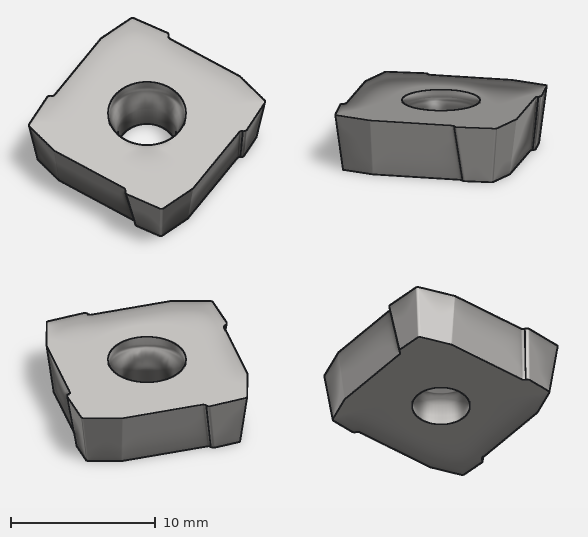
import cadquery as cq
import math

THICKNESS = 4.0
RELIEF_ANGLE = 7.0
SIDES = 4

HALF_WIDTH = 6.52

FLAT_DISTANCE = 6.2
FLAT_END = 3.59
BEVEL_ANGLE = 16.8
TOOTH_ANGLE = 5.2
STEP_X = -2.33
STEP_LEAN = 23.0

CORNER_RADIUS = 0.2
STEP_CREST_RADIUS = 0.26
STEP_FOOT_RADIUS = 0.22
BEVEL_RADIUS_TOP = 0.13
BEVEL_RADIUS_BOTTOM = 0.37

BORE_RADIUS = 4.0 / 2
MOUTH_RADIUS = 2.7
WALL_END_RADIUS = 2.63
SEAT_RADIUS = 2.5
WALL_DEPTH = 0.53
SEAT_DEPTH = 0.83
BORE_DEPTH = 2.23


def tangent(angle):
    return math.tan(math.radians(angle))


def side_corners(inset):
    """Sharp corners of one side, with the flat, bevel and tooth edges moved inwards by inset.

    The foot of the step slides along the flat by the same amount.
    """
    flat = FLAT_DISTANCE - inset
    bevel_x = -flat
    bevel_y = FLAT_END - inset * tangent(BEVEL_ANGLE / 2)
    slope = tangent(TOOTH_ANGLE)
    step_lean = tangent(STEP_LEAN)
    crest_arc_y = HALF_WIDTH - STEP_CREST_RADIUS
    crest_arc_x = STEP_X - (crest_arc_y - FLAT_DISTANCE) * step_lean
    crest_arc_x -= STEP_CREST_RADIUS / math.cos(math.radians(STEP_LEAN))
    edge_rise = (STEP_CREST_RADIUS - inset) / math.cos(math.radians(TOOTH_ANGLE))
    tooth_at_centre = crest_arc_y + edge_rise - slope * crest_arc_x
    lean = tangent(BEVEL_ANGLE)
    tooth_x = (bevel_x + (tooth_at_centre - bevel_y) * lean) / (1 - slope * lean)
    tooth_y = tooth_at_centre + slope * tooth_x
    foot_x = STEP_X - inset
    crest_x = (foot_x - (tooth_at_centre - flat) * step_lean) / (1 + slope * step_lean)
    crest_y = tooth_at_centre + slope * crest_x
    return [(bevel_x, bevel_y), (tooth_x, tooth_y), (crest_x, crest_y), (foot_x, flat)]


def rounded_corner(before, corner, after, radius):
    """Start, middle and end points of the arc that rounds a corner."""
    corner = cq.Vector(*corner)
    back = (cq.Vector(*before) - corner).normalized()
    ahead = (cq.Vector(*after) - corner).normalized()
    half_angle = back.getAngle(ahead) / 2
    setback = radius / math.tan(half_angle)
    to_middle = radius / math.sin(half_angle) - radius
    middle = corner + (back + ahead).normalized() * to_middle
    return corner + back * setback, middle, corner + ahead * setback


def outline(inset, z, bevel_radius):
    """Closed outline of the insert at height z."""
    radii = [bevel_radius, CORNER_RADIUS, STEP_CREST_RADIUS, STEP_FOOT_RADIUS] * SIDES
    corners = []
    for side in range(SIDES):
        turn = -side * 2 * math.pi / SIDES
        for x, y in side_corners(inset):
            turned_x = x * math.cos(turn) - y * math.sin(turn)
            turned_y = x * math.sin(turn) + y * math.cos(turn)
            corners.append((turned_x, turned_y, z))
    count = len(corners)
    arcs = []
    for i in range(count):
        arcs.append(rounded_corner(corners[i - 1], corners[i], corners[(i + 1) % count], radii[i]))
    edges = []
    for i in range(count):
        start, middle, end = arcs[i]
        next_start = arcs[(i + 1) % count][0]
        edges.append(cq.Edge.makeThreePointArc(start, middle, end))
        edges.append(cq.Edge.makeLine(end, next_start))
    return cq.Wire.assembleEdges(edges)


def insert_body():
    inset = THICKNESS * tangent(RELIEF_ANGLE)
    bottom = outline(inset, 0, BEVEL_RADIUS_BOTTOM)
    top = outline(0, THICKNESS, BEVEL_RADIUS_TOP)
    return cq.Workplane(obj=cq.Solid.makeLoft([bottom, top], True))


def screw_hole():
    """Bore flaring smoothly into a curved screw seat and a tapered mouth."""
    return (
        cq.Workplane("XZ")
        .lineTo(BORE_RADIUS, 0)
        .lineTo(BORE_RADIUS, THICKNESS - BORE_DEPTH)
        .tangentArcPoint((SEAT_RADIUS, THICKNESS - SEAT_DEPTH), relative=False)
        .tangentArcPoint((WALL_END_RADIUS, THICKNESS - WALL_DEPTH), relative=False)
        .lineTo(MOUTH_RADIUS, THICKNESS)
        .lineTo(0, THICKNESS)
        .close()
        .revolve(360, (0, 0, 0), (0, 1, 0))
    )


result = insert_body().cut(screw_hole())